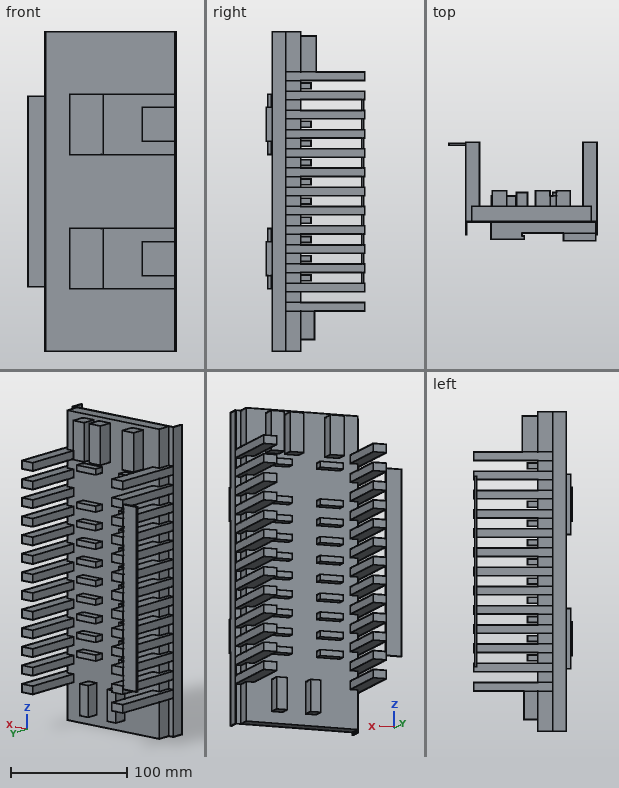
import cadquery as cq


length = 275.0
overall_width = 127.3
channel_width = 113.0
sheet = 1.0
flange_depth = 11.8

clip_height = 52.0
clip_pitch = 115.5
clip_count = 2
clip_left = 21.7
clip_right = channel_width - sheet
clip_depth = 10.5
hook_depth = 15.7
hook_tip_depth = 12.6
hook_width = 29.0
hook_overhang = 2.0
latch_width = 28.0
latch_height = 29.5
latch_depth = 17.0

block_width = 102.8
block_depth = 13.0
arm_count = 13
arm_span = 198.3
arm_pitch = arm_span / (arm_count - 1)
arm_width = 12.0
arm_height = 7.5
arm_reach = 68.0

strip_width = overall_width - channel_width
strip_thickness = 2.0
strip_length = 164.2
strip_setback = 0.8

relay_top = 271.5
relay_rise = 13.2
relays = [(22.8, 12.6), (60.0, 12.6), (78.0, 12.0)]
fuse_bottom = 10.2
fuse_rise = 11.8
fuse_width = 9.5
fuse_lefts = [43.7, 74.8]
terminal_width = 21.2
terminal_height = 5.2
terminal_rise = 8.8
terminal_lefts = [22.0, 69.0]
empty_gaps = [1, arm_count - 2]

middle_z = length / 2
first_arm_z = middle_z + arm_span / 2
last_arm_z = middle_z - arm_span / 2


def box(x_range, y_range, z_range):
    """Box between the given low and high limits on each axis."""
    lows, highs = zip(x_range, y_range, z_range)
    size = [high - low for low, high in zip(lows, highs)]
    return cq.Workplane("XY").box(*size, centered=False).translate(lows)


def around(centre, size):
    """Low and high limits of a size centred on a place."""
    return (centre - size / 2, centre + size / 2)


def make_clip(centre_z):
    """Rail clip: a plate with an overhanging hook at its left and a latch at its right."""
    hook_right = clip_left + hook_width
    neck_right = hook_right - hook_overhang
    outline = [
        (clip_left, -sheet),
        (clip_left, -hook_depth),
        (hook_right, -hook_depth),
        (hook_right, -hook_tip_depth),
        (neck_right, -hook_tip_depth),
        (neck_right, -clip_depth),
        (clip_right, -clip_depth),
        (clip_right, -sheet),
    ]
    bottom_z = centre_z - clip_height / 2
    plate = cq.Workplane("XY").workplane(offset=bottom_z).polyline(outline).close().extrude(clip_height)
    latch = box(
        (clip_right - latch_width, clip_right),
        (-latch_depth, -clip_depth),
        around(centre_z, latch_height),
    )
    return plate.union(latch)


def make_channel():
    """U-shaped sheet carrying the rail clips."""
    channel = box((0, channel_width), (-flange_depth, 0), (0, length))
    hollow = box((sheet, channel_width - sheet), (-flange_depth, -sheet), (0, length))
    channel = channel.cut(hollow)
    for index in range(clip_count):
        centre_z = middle_z + (index - (clip_count - 1) / 2) * clip_pitch
        channel = channel.union(make_clip(centre_z))
    return channel


def make_component(left, width, rise, z_range):
    """Block standing on the back of the board block."""
    return box((left, left + width), (block_depth, block_depth + rise), z_range)


def make_board():
    """Board block with its arms, label strip and components."""
    board = box(around(channel_width / 2, block_width), (0, block_depth), (0, length))

    for index in range(arm_count):
        z_range = around(first_arm_z - index * arm_pitch, arm_height)
        for left in (0, channel_width - arm_width):
            board = board.union(box((left, left + arm_width), (0, arm_reach), z_range))

    strip_back = arm_reach - strip_setback
    strip = box(
        (-strip_width, 0),
        (strip_back - strip_thickness, strip_back),
        around(middle_z, strip_length),
    )
    board = board.union(strip)

    for left, width in relays:
        board = board.union(make_component(left, width, relay_rise, (first_arm_z, relay_top)))
    for left in fuse_lefts:
        board = board.union(make_component(left, fuse_width, fuse_rise, (fuse_bottom, last_arm_z)))

    for gap in range(arm_count - 1):
        if gap in empty_gaps:
            continue
        z_range = around(first_arm_z - (gap + 0.5) * arm_pitch, terminal_height)
        for left in terminal_lefts:
            board = board.union(make_component(left, terminal_width, terminal_rise, z_range))
    return board


channel = make_channel()
board = make_board()
result = cq.Compound.makeCompound([channel.val(), board.val()])